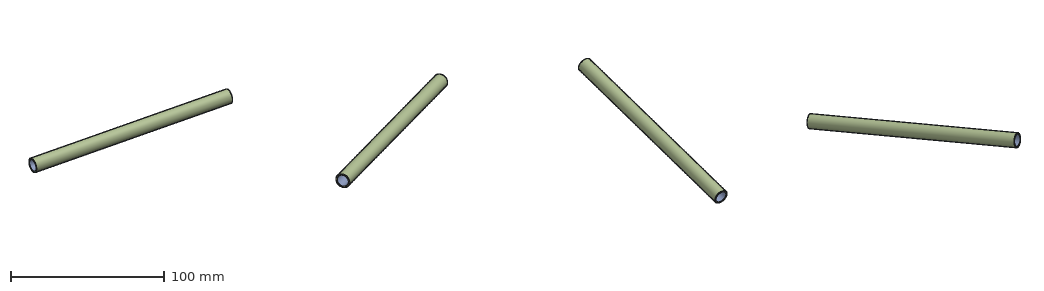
import cadquery as cq

LENGTH = 150.0
OUTER_DIAMETER = 10.0
WALL_THICKNESS = 1.0

inner_diameter = OUTER_DIAMETER - 2 * WALL_THICKNESS


def make_tube():
    """Ring on the -Y end plane, extruded toward +Y."""
    end_plane = cq.Workplane("XZ", origin=(0, -LENGTH / 2, 0))
    ring = end_plane.circle(OUTER_DIAMETER / 2).circle(inner_diameter / 2)
    return ring.extrude(-LENGTH)


result = make_tube()